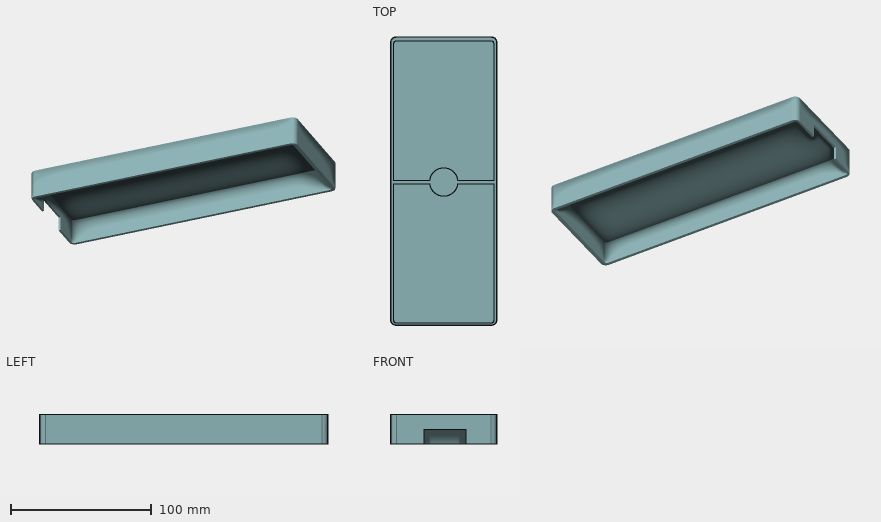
import cadquery as cq

width = 75.5
length = 204.8
height = 21.0
corner_radius = 4.0

wall = 2.3
roof = 2.5
bar_width = 2.5
disc_radius = 10.0
notch_width = 29.9
notch_height = 10.5
notch_offset = 0.8
inner_shift = -0.6

inner_width = width - 2 * wall
inner_length = length - 2 * wall
inner_radius = corner_radius - wall
roof_underside = height - roof


def rounded_block(size_x, size_y, size_z, radius):
    """Block standing on Z = 0 with rounded vertical corners."""
    return cq.Workplane("XY").box(size_x, size_y, size_z, centered=(True, True, False)).edges("|Z").fillet(radius)


def make_panel(side):
    """Inlay on one side (+1 or -1 along Y) of the bar, notched around the disc."""
    sheet = rounded_block(inner_width, inner_length, roof, inner_radius)
    half = cq.Workplane("XY").box(inner_width, length, roof, centered=(True, True, False))
    half = half.translate((0, side * (length + bar_width) / 2, 0))
    disc = cq.Workplane("XY").circle(disc_radius).extrude(roof)
    return sheet.intersect(half).cut(disc).translate((0, inner_shift, roof_underside))


def make_housing(panels):
    """Open-bottomed shell whose roof has a window for each panel."""
    shell = rounded_block(width, length, height, corner_radius)
    cavity = rounded_block(inner_width, inner_length, roof_underside, inner_radius)
    shell = shell.cut(cavity.translate((0, inner_shift, 0)))
    notch = cq.Workplane("XY").box(notch_width, wall, notch_height, centered=(True, False, False))
    shell = shell.cut(notch.translate((notch_offset, -length / 2, 0)))
    for panel in panels:
        shell = shell.cut(panel)
    return shell


panels = [make_panel(side) for side in (-1, 1)]
housing = make_housing(panels)

result = cq.Compound.makeCompound([housing.val(), *[panel.val() for panel in panels]])